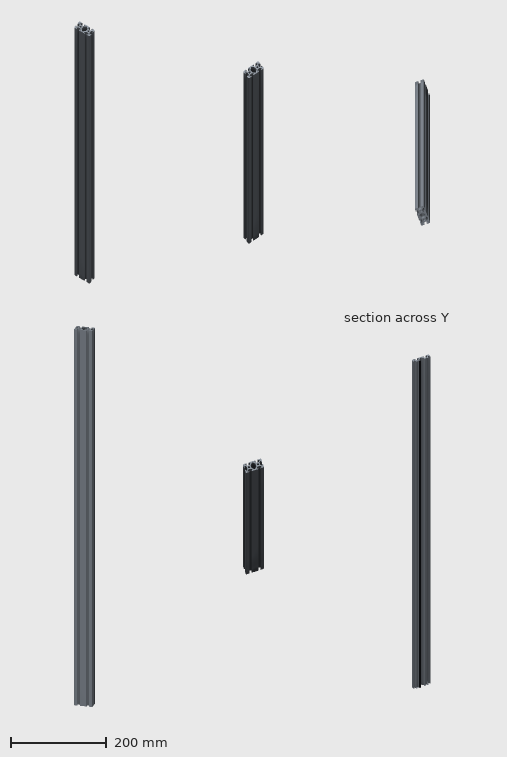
import cadquery as cq
import math

WIDTH = 39.98
DEPTH = 19.99
LENGTH = 840.0
CELL = WIDTH / 2
FACE = CELL / 2
CORNER_RADIUS = 1.835

BORE_DIAMETER = 4.29

MOUTH_HALF_WIDTH = 2.5
RELIEF_WIDTH = 1.05
RELIEF_DEPTH = 0.08
LIP_THICKNESS = 1.75
SLOT_HALF_WIDTH = 5.22
SLOT_WALL_HEIGHT = 1.48
FLOOR_HALF_WIDTH = 2.85
FLOOR_TILT = math.radians(4.0)

HOLLOW_HALF_HEIGHT = 7.56
HOLLOW_HALF_WIDTH = 5.38
HOLLOW_TOP_HALF_WIDTH = 0.83

LIP_LEVEL = FACE - LIP_THICKNESS
FLANK_LEVEL = LIP_LEVEL - SLOT_WALL_HEIGHT
FLOOR_EDGE_LEVEL = FLANK_LEVEL - (SLOT_HALF_WIDTH - FLOOR_HALF_WIDTH)
FLOOR_CENTRE_LEVEL = FLOOR_EDGE_LEVEL - FLOOR_HALF_WIDTH * math.tan(FLOOR_TILT)


def prism(outline):
    """Closed XY outline extruded over the full length of the bar, centred on Z."""
    return outline.extrude(LENGTH / 2, both=True)


def slot_cutter(cell_x, angle):
    """T-slot of the cell centred at cell_x, turned by angle from the cell's +Y face."""
    half_outline = [
        (MOUTH_HALF_WIDTH + RELIEF_WIDTH, FACE),
        (MOUTH_HALF_WIDTH, FACE - RELIEF_DEPTH),
        (MOUTH_HALF_WIDTH, LIP_LEVEL),
        (SLOT_HALF_WIDTH, LIP_LEVEL),
        (SLOT_HALF_WIDTH, FLANK_LEVEL),
        (FLOOR_HALF_WIDTH, FLOOR_EDGE_LEVEL),
    ]
    floor_centre = (0, FLOOR_CENTRE_LEVEL)
    mirrored = [(-x, y) for x, y in reversed(half_outline)]
    outline = cq.Workplane("XY").polyline(half_outline + [floor_centre] + mirrored).close()
    return prism(outline).rotate((0, 0, 0), (0, 0, 1), angle).translate((cell_x, 0, 0))


def bore_cutter(cell_x):
    """Core hole along the axis of the cell centred at cell_x."""
    return prism(cq.Workplane("XY").center(cell_x, 0).circle(BORE_DIAMETER / 2))


def hollow_cutter():
    """Octagonal hollow centred between the two cells."""
    slope = HOLLOW_HALF_WIDTH - HOLLOW_TOP_HALF_WIDTH
    block = prism(cq.Workplane("XY").rect(2 * HOLLOW_HALF_WIDTH, 2 * HOLLOW_HALF_HEIGHT))
    return block.edges("|Z").chamfer(slope)


def bar():
    """Rounded rectangular bar with its slots, core holes and hollow cut through."""
    body = prism(cq.Workplane("XY").rect(WIDTH, DEPTH))
    body = body.edges("|Z").fillet(CORNER_RADIUS)
    for side in (-1, 1):
        cell_x = side * CELL / 2
        end_face_angle = -90 * side
        for angle in (0, 180, end_face_angle):
            body = body.cut(slot_cutter(cell_x, angle))
        body = body.cut(bore_cutter(cell_x))
    return body.cut(hollow_cutter())


result = bar()